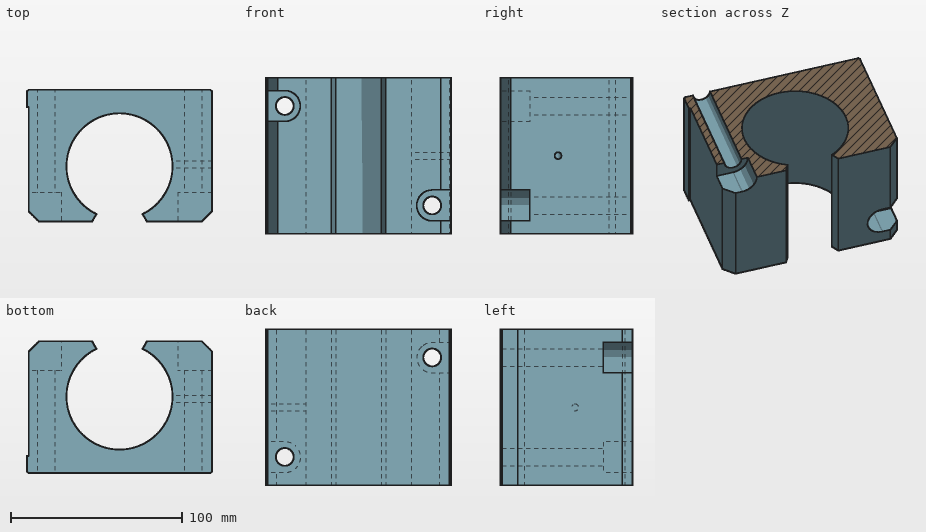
import cadquery as cq

width = 108.0
depth = 77.0
height = 91.0
front_chamfer = 6.0
back_chamfer = 1.0
side_relief = 1.0
datum_strip_depth = 10.2

bore_radius = 30.9
bore_y = 32.3
throat_half_width = 13.4
mouth_half_width = 16.0

bolt_diameter = 10.3
bolt_side_offset = 11.0
bolt_end_offset = 16.5
pocket_width = 18.0
pocket_depth = 17.1

side_hole_diameter = 4.0
side_hole_y = 33.6

center_x = width / 2


def make_block():
    """Chamfered block whose left side stands proud only along the back strip."""
    strip_y = depth - datum_strip_depth
    outline = [
        (side_relief + front_chamfer, 0),
        (width - front_chamfer, 0),
        (width, front_chamfer),
        (width, depth - back_chamfer),
        (width - back_chamfer, depth),
        (back_chamfer, depth),
        (0, depth - back_chamfer),
        (0, strip_y),
        (side_relief, strip_y),
        (side_relief, front_chamfer),
    ]
    return cq.Workplane("XY").polyline(outline).close().extrude(height)


def make_bore():
    """Vertical bore joined to the opening that flares toward the front."""
    throat_y = bore_y - (bore_radius**2 - throat_half_width**2) ** 0.5
    return (
        cq.Workplane("XY")
        .moveTo(center_x - mouth_half_width, 0)
        .lineTo(center_x - throat_half_width, throat_y)
        .threePointArc((center_x, bore_y + bore_radius), (center_x + throat_half_width, throat_y))
        .lineTo(center_x + mouth_half_width, 0)
        .close()
        .extrude(height)
    )


def make_bolt_cut(hole_x, hole_z, side_x):
    """Through hole and round-ended front pocket that runs out at side_x."""
    front = cq.Workplane("XZ")
    hole = front.center(hole_x, hole_z).circle(bolt_diameter / 2).extrude(-depth)
    round_end = front.center(hole_x, hole_z).circle(pocket_width / 2).extrude(-pocket_depth)
    run_out = (
        front.center((hole_x + side_x) / 2, hole_z)
        .rect(abs(side_x - hole_x), pocket_width)
        .extrude(-pocket_depth)
    )
    return hole.union(round_end).union(run_out)


def make_side_hole():
    """Horizontal hole at mid height, from inside the bore out through the right side."""
    return (
        cq.Workplane("YZ", origin=(center_x, side_hole_y, height / 2))
        .circle(side_hole_diameter / 2)
        .extrude(width - center_x)
    )


upper_left_bolt = make_bolt_cut(bolt_side_offset, height - bolt_end_offset, 0)
lower_right_bolt = make_bolt_cut(width - bolt_side_offset, bolt_end_offset, width)

result = make_block().cut(make_bore())
result = result.cut(upper_left_bolt).cut(lower_right_bolt)
result = result.cut(make_side_hole())